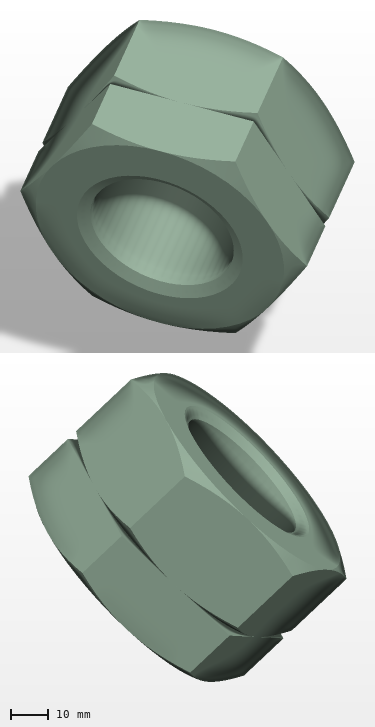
import cadquery as cq
import math

HEXAGON_SIDES = 6
CORNER_DIAMETER = 80.8
THIN_NUT_HEIGHT = 18.0
THICK_NUT_HEIGHT = 27.0
BORE_DIAMETER = 40.4
COUNTERSINK_DIAMETER = 46.7
COUNTERSINK_ANGLE = 60.0
COLLAR_DIAMETER = 50.1
CORNER_CHAMFER_ANGLE = 30.0

corner_radius = CORNER_DIAMETER / 2
face_radius = corner_radius * math.cos(math.pi / HEXAGON_SIDES)
chamfer_height = (corner_radius - face_radius) * math.tan(math.radians(CORNER_CHAMFER_ANGLE))
bore_radius = BORE_DIAMETER / 2
countersink_radius = COUNTERSINK_DIAMETER / 2
countersink_depth = (countersink_radius - bore_radius) / math.tan(math.radians(COUNTERSINK_ANGLE))


def revolve_about_y(points):
    """Solid of revolution about Y from (radius, y) points."""
    return cq.Workplane("XY").polyline(points).close().revolve(360, (0, 0, 0), (0, 1, 0))


def hexagon_prism(front, back):
    """Hexagonal bar from y = front to y = back, with corners on +X and -X."""
    return (
        cq.Workplane("XZ", origin=(0, back, 0))
        .polygon(HEXAGON_SIDES, CORNER_DIAMETER)
        .extrude(back - front)
    )


def chamfer_envelope(front, back, chamfer_back):
    """Turned blank whose conical ends trim the corners of the hexagon."""
    points = [
        (0, front),
        (face_radius, front),
        (corner_radius, front + chamfer_height),
    ]
    if chamfer_back:
        points += [(corner_radius, back - chamfer_height), (face_radius, back)]
    else:
        points += [(corner_radius, back)]
    points += [(0, back)]
    return revolve_about_y(points)


def countersunk_bore(front, back):
    """Bore from y = front to y = back that widens into a countersink at both ends."""
    return revolve_about_y([
        (0, front),
        (countersink_radius, front),
        (bore_radius, front + countersink_depth),
        (bore_radius, back - countersink_depth),
        (countersink_radius, back),
        (0, back),
    ])


def hex_blank(front, back, chamfer_back):
    """Hexagon with chamfered front corners and, if asked for, chamfered back corners."""
    return hexagon_prism(front, back).intersect(chamfer_envelope(front, back, chamfer_back))


def collar_cylinder():
    """Cylinder that runs from the back of the thin nut through the whole thick nut."""
    return (
        cq.Workplane("XZ", origin=(0, THICK_NUT_HEIGHT, 0))
        .circle(COLLAR_DIAMETER / 2)
        .extrude(THICK_NUT_HEIGHT)
    )


thin_nut = (
    hex_blank(-THIN_NUT_HEIGHT, 0, chamfer_back=False)
    .union(collar_cylinder())
    .cut(countersunk_bore(-THIN_NUT_HEIGHT, THICK_NUT_HEIGHT))
)

thick_nut = hex_blank(0, THICK_NUT_HEIGHT, chamfer_back=True).cut(collar_cylinder())

result = cq.Compound.makeCompound([thin_nut.solids().val(), thick_nut.solids().val()])